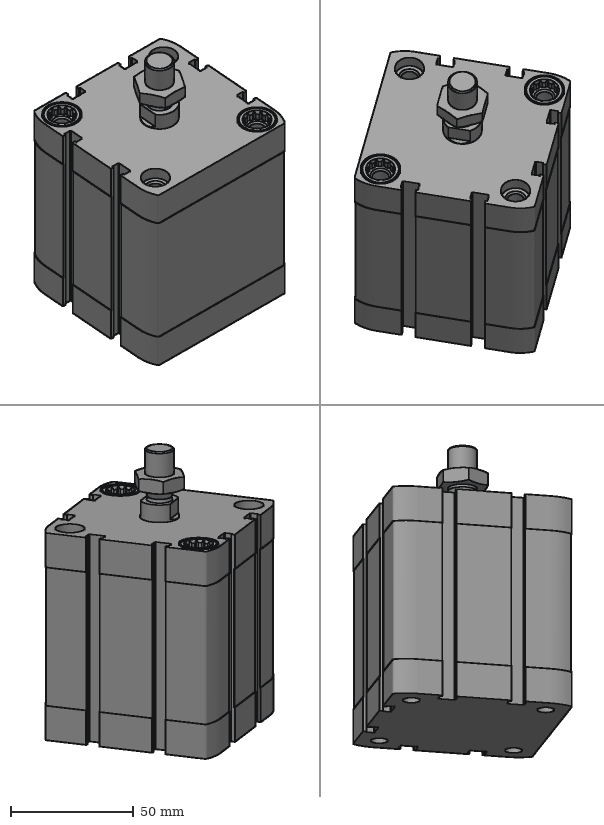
import cadquery as cq
import math

side = 75.5
housing_height = 89.0
cap_height = 14.8
barrel_inset = 0.2
corner_arc_radius = 19.0
corner_fillet = 1.2

slot_pitch = 29.0
slot_opening = 5.7
slot_width = 7.2
slot_depth = 5.0
slot_lip = 1.5
slot_corner_chamfer = 0.4
slot_mouth_chamfer = 0.18

bore_pitch = 56.5
through_diameter = 7.0
thread_chamfer_diameter = 8.5
thread_chamfer_depth = (thread_chamfer_diameter - through_diameter) / 2
mount_bore_diameter = 12.0
mount_bore_depth = 5.1

head_recess_diameter = 16.4
head_diameter = 15.5
head_chamfer = 0.4
socket_inner_diameter = 10.7
socket_outer_diameter = 12.0
socket_depth = 4.3
socket_entry_depth = 1.4

total_height = 118.5
rod_diameter = 16.0
rod_entry_depth = cap_height
rod_shoulder_z = 96.5
thread_diameter = 12.0
thread_tip_diameter = 10.7
thread_tip_height = 0.6
thread_start_z = 100.5
neck_diameter = 10.2
neck_top_z = 98.0
neck_bottom_z = 97.3
neck_foot_diameter = 10.7
wrench_flats = 13.0
flat_bottom_z = 90.1
flat_runout_z = 89.2

nut_flats = 19.0
nut_height = 6.0
nut_bottom_z = 101.7
nut_chamfer_angle = 17.0


def hexagon_circle(across_flats):
    """Diameter of the circle through the corners of a hexagon."""
    return across_flats / math.cos(math.pi / 6)


def cone(z_bottom, bottom_diameter, z_top, top_diameter):
    """Solid frustum on the Z axis."""
    return (
        cq.Workplane("XZ")
        .polyline([
            (0, z_bottom),
            (bottom_diameter / 2, z_bottom),
            (top_diameter / 2, z_top),
            (0, z_top),
        ])
        .close()
        .revolve(360, (0, 0), (0, 1))
    )


def housing_block(inset, z_bottom, height):
    """Square block whose front and back faces curve away at the corners."""
    half = side / 2 - inset
    arc_radius = corner_arc_radius - inset
    arc_start = bore_pitch / 2
    arc_center_y = half - arc_radius

    def arc_point(x):
        return arc_center_y + math.sqrt(arc_radius**2 - (x - arc_start) ** 2)

    mid_x = (arc_start + half) / 2
    mid_y = arc_point(mid_x)
    end_y = arc_point(half)
    return (
        cq.Workplane("XY")
        .workplane(offset=z_bottom)
        .moveTo(-arc_start, half)
        .lineTo(arc_start, half)
        .threePointArc((mid_x, mid_y), (half, end_y))
        .lineTo(half, -end_y)
        .threePointArc((mid_x, -mid_y), (arc_start, -half))
        .lineTo(-arc_start, -half)
        .threePointArc((-mid_x, -mid_y), (-half, -end_y))
        .lineTo(-half, end_y)
        .threePointArc((-mid_x, mid_y), (-arc_start, half))
        .close()
        .extrude(height)
        .edges("|Z and (<X or >X)")
        .fillet(corner_fillet)
    )


def t_slot(inset, z_bottom, height):
    """T-slot cutter opening toward +Y, centred on X = 0, with its mouth chamfered at the inset face."""
    face = side / 2 - inset
    floor_y = side / 2 - slot_depth
    mouth_half = slot_opening / 2
    base = cq.Workplane("XY").workplane(offset=z_bottom)
    opening = (
        base.polyline([
            (-mouth_half, floor_y),
            (mouth_half, floor_y),
            (mouth_half, face - slot_mouth_chamfer),
            (mouth_half + slot_mouth_chamfer, face),
            (-mouth_half - slot_mouth_chamfer, face),
            (-mouth_half, face - slot_mouth_chamfer),
        ])
        .close()
        .extrude(height)
    )
    groove = (
        base.center(0, floor_y)
        .box(slot_width, slot_depth - slot_lip, height, (True, False, False))
        .edges("|Z and <Y")
        .chamfer(slot_corner_chamfer)
    )
    return opening.union(groove)


def slotted_block(inset, z_bottom, height):
    """Housing block with T-slots on its back, left and front faces."""
    block = housing_block(inset, z_bottom, height)
    for angle in (0, 90, 180):
        for offset in (-slot_pitch / 2, slot_pitch / 2):
            slot = t_slot(inset, z_bottom, height).translate((offset, 0, 0))
            block = block.cut(slot.rotate((0, 0, 0), (0, 0, 1), angle))
    return block


def mount_bore():
    """Cutter for an open corner bore: counterbore, thread chamfer and through hole."""
    floor_z = housing_height - mount_bore_depth
    counterbore = cq.Workplane("XY").workplane(offset=floor_z).circle(mount_bore_diameter / 2)
    return counterbore.extrude(mount_bore_depth).union(threaded_hole(floor_z))


def threaded_hole(floor_z):
    """Cutter for the through hole, chamfered where it leaves the floor."""
    hole = cq.Workplane("XY").circle(through_diameter / 2).extrude(floor_z)
    chamfer = cone(floor_z - thread_chamfer_depth, through_diameter, floor_z, thread_chamfer_diameter)
    return hole.union(chamfer)


def head_groove():
    """Ring-shaped gap around a screw head whose top edge is chamfered."""
    floor = cq.Workplane("XY").workplane(offset=housing_height - mount_bore_depth)
    head = floor.circle(head_diameter / 2).extrude(mount_bore_depth).faces(">Z").chamfer(head_chamfer)
    return floor.circle(head_recess_diameter / 2).extrude(mount_bore_depth).cut(head)


def screw_bore():
    """Cutter for a screw head: surrounding gap, twelve-point socket and hole."""
    floor_z = housing_height - socket_depth
    base = cq.Workplane("XY").workplane(offset=floor_z)
    socket = base.circle(socket_inner_diameter / 2).extrude(socket_depth)
    for angle in (0, 30, 60):
        square = base.polygon(4, socket_outer_diameter).extrude(socket_depth)
        socket = socket.union(square.rotate((0, 0, 0), (0, 0, 1), angle))
    entry = cone(
        housing_height - socket_entry_depth,
        socket_inner_diameter,
        housing_height,
        socket_outer_diameter,
    )
    return socket.union(entry).union(threaded_hole(floor_z)).union(head_groove())


def make_housing():
    barrel_height = housing_height - 2 * cap_height
    body = (
        slotted_block(0, 0, cap_height)
        .union(slotted_block(barrel_inset, cap_height, barrel_height))
        .union(slotted_block(0, housing_height - cap_height, cap_height))
    )
    corner = bore_pitch / 2
    for sign in (-1, 1):
        body = body.cut(mount_bore().translate((sign * corner, -sign * corner, 0)))
        body = body.cut(screw_bore().translate((sign * corner, sign * corner, 0)))
    seat = (
        cq.Workplane("XY")
        .workplane(offset=housing_height - rod_entry_depth)
        .circle(rod_diameter / 2)
        .extrude(rod_entry_depth)
    )
    return body.cut(seat)


def flat_cutter():
    """Cutter for the wrench flat on the +Y side, with a sloped runout at its foot."""
    flat_y = wrench_flats / 2
    rod_radius = rod_diameter / 2
    return (
        cq.Workplane("YZ")
        .polyline([
            (flat_y, rod_shoulder_z),
            (flat_y, flat_bottom_z),
            (rod_radius, flat_runout_z),
            (rod_radius, rod_shoulder_z),
        ])
        .close()
        .extrude(rod_radius, both=True)
    )


def make_rod():
    rod = (
        cq.Workplane("XZ")
        .moveTo(0, housing_height - rod_entry_depth)
        .lineTo(rod_diameter / 2, housing_height - rod_entry_depth)
        .lineTo(rod_diameter / 2, rod_shoulder_z)
        .lineTo(neck_foot_diameter / 2, rod_shoulder_z)
        .lineTo(neck_diameter / 2, neck_bottom_z)
        .lineTo(neck_diameter / 2, neck_top_z)
        .lineTo(thread_diameter / 2, thread_start_z)
        .lineTo(thread_diameter / 2, total_height - thread_tip_height)
        .lineTo(thread_tip_diameter / 2, total_height)
        .lineTo(0, total_height)
        .close()
        .revolve(360, (0, 0), (0, 1))
    )
    for angle in (0, 180):
        rod = rod.cut(flat_cutter().rotate((0, 0, 0), (0, 0, 1), angle))
    return rod


def make_nut():
    """Hexagon nut with corners on the Y axis, chamfered on both ends."""
    corner_circle = hexagon_circle(nut_flats)
    chamfer_height = (corner_circle - nut_flats) / 2 * math.tan(math.radians(nut_chamfer_angle))
    nut_top_z = nut_bottom_z + nut_height
    envelope = (
        cone(nut_bottom_z, nut_flats, nut_bottom_z + chamfer_height, corner_circle)
        .union(cone(nut_bottom_z + chamfer_height, corner_circle, nut_top_z - chamfer_height, corner_circle))
        .union(cone(nut_top_z - chamfer_height, corner_circle, nut_top_z, nut_flats))
    )
    base = cq.Workplane("XY").workplane(offset=nut_bottom_z)
    hexagon = base.transformed(rotate=(0, 0, 30)).polygon(6, corner_circle).extrude(nut_height)
    hole = base.circle(thread_diameter / 2).extrude(nut_height)
    return hexagon.intersect(envelope).cut(hole)


housing = make_housing()
rod = make_rod()
nut = make_nut()
result = cq.Compound.makeCompound([housing.val(), rod.val(), nut.val()])